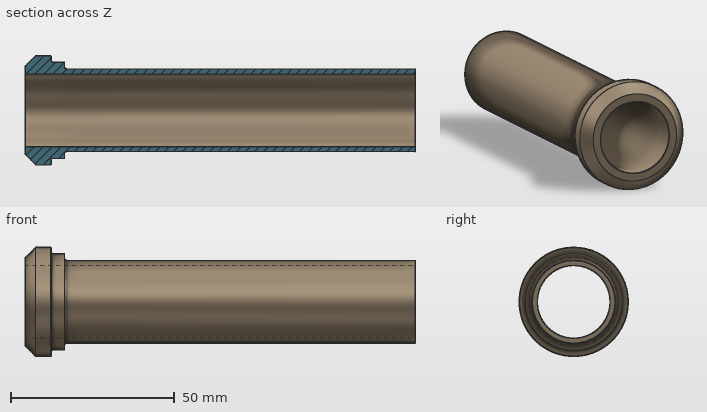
import cadquery as cq

total_length = 119.08
bore_diameter = 22.1
tube_diameter = 25.4
step_diameter = 29.52
collar_diameter = 33.43

collar_cone_length = 3.2
collar_end = 8.0
step_end = 12.0

edge_break = 0.127
collar_back_chamfer = 0.2
step_root_fillet = 0.4
tube_root_fillet = 0.7

bore_radius = bore_diameter / 2
tube_radius = tube_diameter / 2
step_radius = step_diameter / 2
collar_radius = collar_diameter / 2
collar_face_radius = collar_radius - collar_cone_length


def make_fitting():
    """Revolve the half section, given as (axial position, radius), about the X axis."""
    section = (
        cq.Workplane("XY")
        .moveTo(edge_break, bore_radius)
        .lineTo(0, bore_radius + edge_break)
        .lineTo(0, collar_face_radius)
        .lineTo(collar_cone_length, collar_radius)
        .lineTo(collar_end - collar_back_chamfer, collar_radius)
        .lineTo(collar_end, collar_radius - collar_back_chamfer)
        .lineTo(collar_end, step_radius + step_root_fillet)
        .radiusArc((collar_end + step_root_fillet, step_radius), -step_root_fillet)
        .lineTo(step_end, step_radius)
        .lineTo(step_end, tube_radius + tube_root_fillet)
        .radiusArc((step_end + tube_root_fillet, tube_radius), -tube_root_fillet)
        .lineTo(total_length - edge_break, tube_radius)
        .lineTo(total_length, tube_radius - edge_break)
        .lineTo(total_length, bore_radius)
        .close()
    )
    return section.revolve(360, (0, 0, 0), (1, 0, 0))


result = make_fitting()